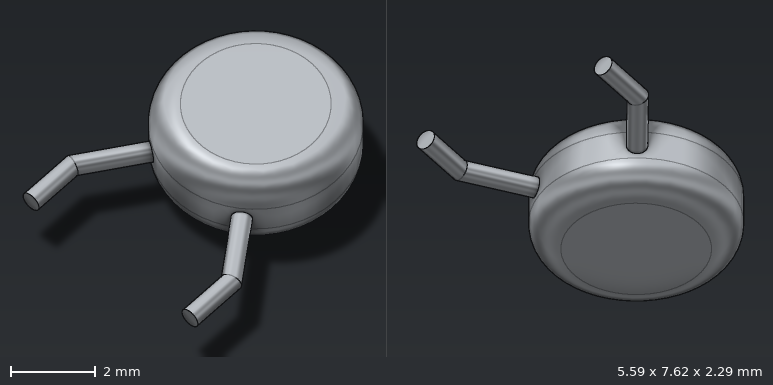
import cadquery as cq
import math

total_length = 7.62
body_diameter = 5.08
body_radius = body_diameter / 2
body_height = 2.29
edge_radius = 0.76

lead_diameter = 0.51
lead_pitch = 5.08
lead_splay_angle = 35.0
lead_end_y = body_radius - total_length
lead_bend_y = -lead_pitch / 2 / math.tan(math.radians(lead_splay_angle))


def make_body():
    """Flat disc with both rims fully rounded over."""
    disc = cq.Workplane("XY").cylinder(body_height, body_radius)
    return disc.faces("|Z").edges().fillet(edge_radius)


def make_lead(side):
    """Mitred wire running radially out of the body, then parallel to Y; side is -1 or +1."""
    lead_x = side * lead_pitch / 2
    path = (
        cq.Workplane("XY")
        .moveTo(lead_x, lead_end_y)
        .lineTo(lead_x, lead_bend_y)
        .lineTo(0, 0)
    )
    end_face = cq.Workplane("XZ", origin=(lead_x, lead_end_y, 0)).circle(lead_diameter / 2)
    return end_face.sweep(path, transition="right")


result = make_body()
for side in (-1, 1):
    result = result.union(make_lead(side))